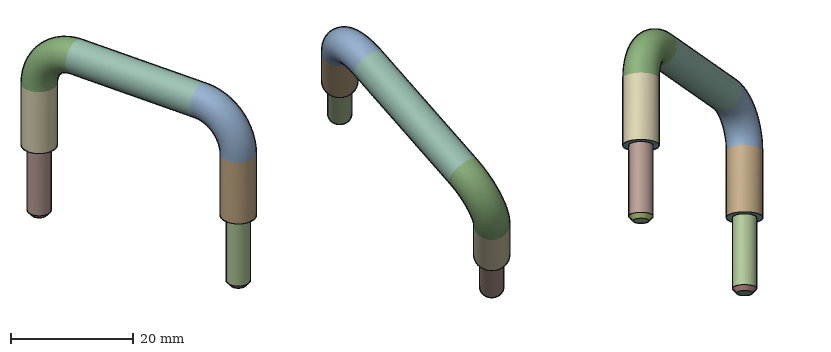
import cadquery as cq

overall_length = 46.0
overall_height = 35.0
bar_diameter = 6.0
pin_diameter = 4.0
pin_length = 13.0
bend_radius = 7.5
tip_height = 0.8
tip_inset = 0.7

leg_x = (overall_length - bar_diameter) / 2
bar_axis_z = overall_height - pin_length - bar_diameter / 2
bend_start_z = bar_axis_z - bend_radius
straight_end_x = leg_x - bend_radius


def make_bar():
    """Round bar swept along a U-shaped centreline in the XZ plane."""
    centreline = (
        cq.Workplane("XZ")
        .moveTo(-leg_x, 0)
        .lineTo(-leg_x, bend_start_z)
        .tangentArcPoint((-straight_end_x, bar_axis_z), relative=False)
        .lineTo(straight_end_x, bar_axis_z)
        .tangentArcPoint((leg_x, bend_start_z), relative=False)
        .lineTo(leg_x, 0)
    )
    return cq.Workplane("XY").center(-leg_x, 0).circle(bar_diameter / 2).sweep(centreline)


def make_pin(x):
    """Mounting pin below one leg, with a bevelled tip."""
    pin = cq.Workplane("XY").center(x, 0).circle(pin_diameter / 2).extrude(-pin_length)
    return pin.faces("<Z").chamfer(tip_height, tip_inset)


result = make_bar()
for pin_x in (-leg_x, leg_x):
    result = result.union(make_pin(pin_x))